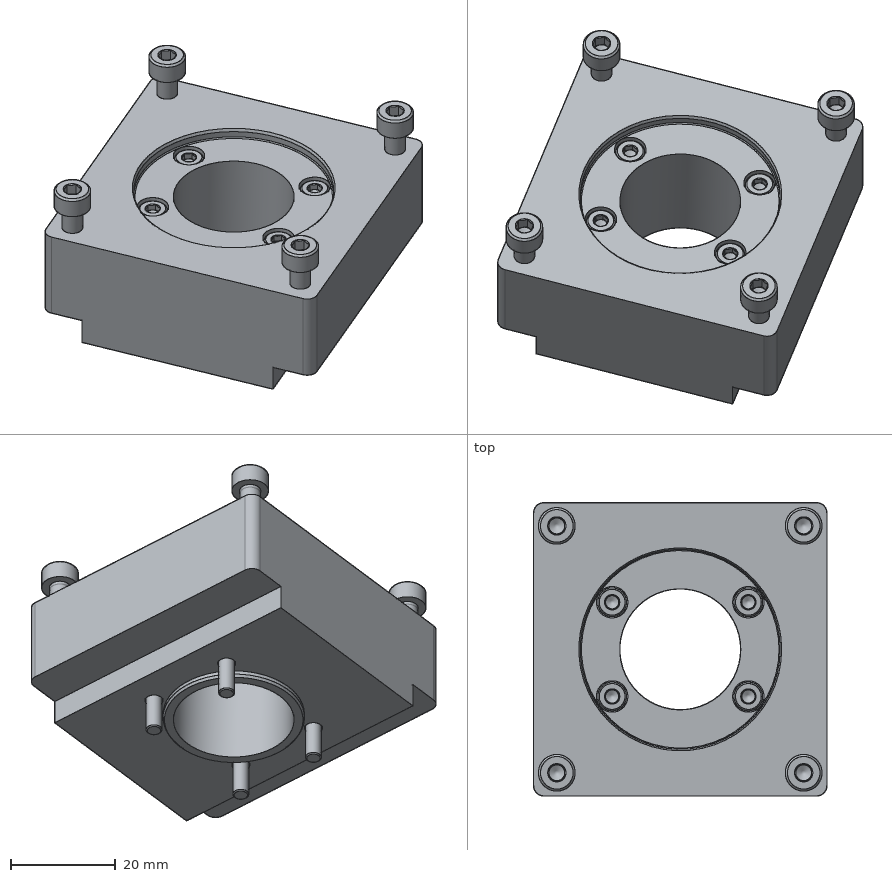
import cadquery as cq
import math

side = 56.0
corner_radius = 2.0
block_height = 18.0
foot_width = 39.5
foot_height = 5.15
foot_bottom = -(block_height + foot_height)

seat_diameter = 38.15
seat_depth = 2.0
lead_in_width = 0.3
lead_in_height = 0.55
seat_floor_chamfer = 0.2
bore_diameter = 23.0

spigot_diameter = 27.0
spigot_length = 1.35

corner_pitch = 47.1
corner_shank_diameter = 4.0
corner_shank_length = 16.0
corner_head_diameter = 7.0
corner_head_height = 4.0
corner_head_chamfer = 0.4
corner_hex_width = 3.0
corner_socket_depth = 2.3
corner_head_seat = 5.05
corner_neck_height = 0.6
corner_neck_flare = 0.05

seat_pitch_x = 26.0
seat_pitch_y = 18.0
seat_shank_diameter = 3.0
seat_shank_length = 25.0
seat_head_diameter = 5.5
seat_head_height = 3.0
seat_head_chamfer = 0.3
seat_hex_width = 2.5
seat_socket_depth = 1.3
seat_head_seat = -5.45
clearance_diameter = 3.4
counterbore_diameter = 6.0

tip_chamfer = 0.2
socket_point_angle = 120.0
hexagon_turn = 30.0


def rectangle_points(pitch_x, pitch_y):
    """Corners of a rectangle centred on the Z axis."""
    return [(sx * pitch_x / 2, sy * pitch_y / 2) for sx in (-1, 1) for sy in (-1, 1)]


corner_points = rectangle_points(corner_pitch, corner_pitch)
seat_points = rectangle_points(seat_pitch_x, seat_pitch_y)


def drill(points, diameter, top, bottom):
    """Upright cylinders at the given points, used as cutting tools."""
    return (
        cq.Workplane("XY", origin=(0, 0, bottom))
        .pushPoints(points)
        .circle(diameter / 2)
        .extrude(top - bottom)
    )


def make_seat():
    """Round recess with a tapered mouth and a chamfered floor corner."""
    radius = seat_diameter / 2
    return (
        cq.Workplane("XZ")
        .moveTo(0, 0)
        .lineTo(radius + lead_in_width, 0)
        .lineTo(radius, -lead_in_height)
        .lineTo(radius, -(seat_depth - seat_floor_chamfer))
        .lineTo(radius - seat_floor_chamfer, -seat_depth)
        .lineTo(0, -seat_depth)
        .close()
        .revolve(360, (0, 0), (0, 1))
    )


def make_housing():
    """Block, foot and spigot with the seat, bore and screw holes cut out."""
    block = (
        cq.Workplane("XY", origin=(0, 0, -block_height))
        .rect(side, side)
        .extrude(block_height)
        .edges("|Z")
        .fillet(corner_radius)
    )
    foot = (
        cq.Workplane("XY", origin=(0, 0, foot_bottom))
        .rect(foot_width, side)
        .extrude(foot_height)
    )
    spigot_bottom = foot_bottom - spigot_length
    spigot = (
        cq.Workplane("XY", origin=(0, 0, spigot_bottom))
        .circle(spigot_diameter / 2)
        .extrude(spigot_length)
        .faces("<Z")
        .chamfer(lead_in_height, lead_in_width)
    )
    shank_end = corner_head_seat - corner_shank_length
    return (
        block.union(foot)
        .union(spigot)
        .cut(make_seat())
        .cut(drill([(0, 0)], bore_diameter, 0, spigot_bottom))
        .cut(drill(seat_points, counterbore_diameter, -seat_depth, seat_head_seat))
        .cut(drill(seat_points, clearance_diameter, seat_head_seat, spigot_bottom))
        .cut(drill(corner_points, corner_shank_diameter, 0, shank_end))
    )


def make_socket(hex_width, depth):
    """Hexagon socket tool with a countersunk mouth and a drilled point; its mouth is at Z = 0."""
    across_corners = hex_width / math.cos(math.pi / 6)
    flat_radius = hex_width / 2
    mouth_radius = across_corners / 2
    mouth_depth = mouth_radius - flat_radius
    point_depth = flat_radius / math.tan(math.radians(socket_point_angle / 2))
    hexagon = (
        cq.Workplane("XY")
        .transformed(rotate=(0, 0, hexagon_turn))
        .polygon(6, across_corners)
        .extrude(-depth)
    )
    core = (
        cq.Workplane("XZ")
        .moveTo(0, 0)
        .lineTo(mouth_radius, 0)
        .lineTo(flat_radius, -mouth_depth)
        .lineTo(flat_radius, -depth)
        .lineTo(0, -depth - point_depth)
        .close()
        .revolve(360, (0, 0), (0, 1))
    )
    return hexagon.union(core)


def make_cap_screw(shank_diameter, shank_length, head_diameter, head_height, head_chamfer, socket):
    """Socket head cap screw pointing down, with the underside of its head at Z = 0."""
    head = (
        cq.Workplane("XY")
        .circle(head_diameter / 2)
        .extrude(head_height)
        .faces(">Z")
        .chamfer(head_chamfer)
    )
    shank = (
        cq.Workplane("XY")
        .circle(shank_diameter / 2)
        .extrude(-shank_length)
        .faces("<Z")
        .chamfer(tip_chamfer)
    )
    return head.union(shank).cut(socket.translate((0, 0, head_height)))


def make_corner_screw():
    """Corner screw, whose neck flares slightly towards the head."""
    screw = make_cap_screw(
        corner_shank_diameter,
        corner_shank_length,
        corner_head_diameter,
        corner_head_height,
        corner_head_chamfer,
        make_socket(corner_hex_width, corner_socket_depth),
    )
    shank_radius = corner_shank_diameter / 2
    neck = (
        cq.Workplane("XZ")
        .moveTo(0, 0)
        .lineTo(shank_radius + corner_neck_flare, 0)
        .lineTo(shank_radius, -corner_neck_height)
        .lineTo(0, -corner_neck_height)
        .close()
        .revolve(360, (0, 0), (0, 1))
    )
    return screw.union(neck)


def make_seat_screw():
    """Plain screw that clamps through the floor of the seat."""
    return make_cap_screw(
        seat_shank_diameter,
        seat_shank_length,
        seat_head_diameter,
        seat_head_height,
        seat_head_chamfer,
        make_socket(seat_hex_width, seat_socket_depth),
    )


housing = make_housing()
corner_screws = [make_corner_screw().translate((x, y, corner_head_seat)) for x, y in corner_points]
seat_screws = [make_seat_screw().translate((x, y, seat_head_seat)) for x, y in seat_points]

screws = corner_screws + seat_screws
screw_solids = [screw.solids().val() for screw in screws]
result = cq.Compound.makeCompound([housing.solids().val(), *screw_solids])